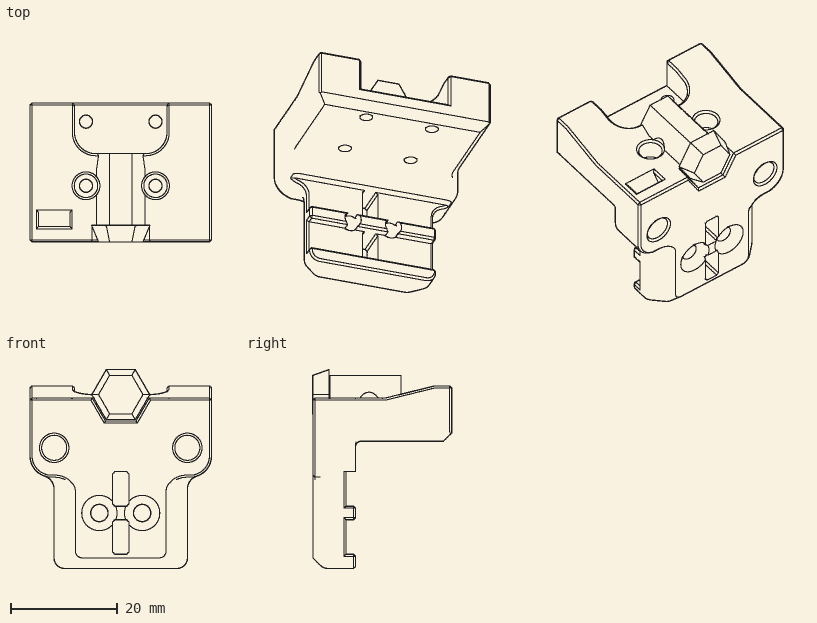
import cadquery as cq
import math


block_width = 34.0
block_depth = 26.0
plate_depth = 8.0
block_bottom = 17.1
block_corner_radius = 4.0
arm_bottom = 23.8
arm_chamfer = 1.6
arm_edge_radius = 0.75
arm_root_radius = 1.0
plate_corner_radius = 0.75
deck_height = 31.9
deck_length = 13.5
shoulder_height = 34.2
shoulder_length = 3.2
edge_chamfer = 0.4

neck_width = 25.0
neck_side_bevel = 4.0
neck_bottom_bevel = 2.0
neck_ridge_radius = 2.0
neck_blend_radius = 2.5

groove_floor = 6.2
groove_bottoms = (2.7, 11.7)
groove_height = 6.43
slot_width = 3.0

hex_center_height = 32.56
head_back_flats = 9.4
head_front_flats = 7.2
head_overhang = 0.04
recess_flats = 9.9
recess_depth = 3.2
head_end_gap = 0.15
ridge_flats = 7.2

pocket_half_width = 8.65
pocket_front = 16.5
pocket_floor = 27.8
pocket_corner_radius = 4.0

mount_hole_diameter = 2.4
mount_hole_x = 6.5
mount_hole_front_y = 10.5
mount_hole_rear_y = 22.5
counterbore_diameter = 4.4

blind_hole_diameter = 4.7
blind_hole_depth = 6.0
blind_hole_x = 12.45
blind_hole_z = 22.6
screw_hole_diameter = 3.2
screw_head_diameter = 6.6
screw_hole_x = 4.0
screw_hole_z = 10.4

ramp_slot_x = -12.45
ramp_slot_length = 5.9
ramp_slot_front = 2.85
ramp_slot_back = 5.95

half_width = block_width / 2
half_neck = neck_width / 2
groove_top = max(groove_bottoms) + groove_height
margin = 1.0
tolerance = 0.01




class EdgeFilter(cq.Selector):
    """Selects the edges that pass a test."""

    def __init__(self, test):
        self.test = test

    def filter(self, edges):
        return [edge for edge in edges if self.test(edge)]


def near(a, b):
    return abs(a - b) < tolerance


def lies_at_y(edge, y):
    bounds = edge.BoundingBox()
    return near(bounds.ymin, y) and near(bounds.ymax, y)


def front_plane(y=0, z=0):
    """Plane with axes +X and +Z; a negative extrusion goes back into the part."""
    return cq.Workplane("XZ", origin=(0, y, z))


def side_prism(points, half_length=half_width):
    """Polygon of (y, z) points extruded symmetrically along X."""
    return cq.Workplane("YZ").polyline(points).close().extrude(half_length, both=True)


def mirrored_pair(solid):
    return solid.union(solid.mirror("YZ"))


def point_on_arc(center, radius, angle):
    return (center[0] + radius * math.cos(angle), center[1] + radius * math.sin(angle))


def hexagon(plane, flats):
    """Hexagon with flats at top and bottom."""
    return plane.polygon(6, flats / math.cos(math.pi / 6))




def plate_blank():
    """Plate whose rounded lower corners sweep through a tangent arc into the neck."""
    convex = (half_width - block_corner_radius, block_bottom + block_corner_radius)
    center_distance = block_corner_radius + neck_blend_radius
    concave_x = half_neck + neck_blend_radius
    center_drop = math.sqrt(center_distance**2 - (concave_x - convex[0]) ** 2)
    concave = (concave_x, convex[1] - center_drop)
    sweep = math.asin(center_drop / center_distance)
    right_half = (
        front_plane()
        .lineTo(half_neck, 0)
        .lineTo(half_neck, concave[1])
        .threePointArc(
            point_on_arc(concave, neck_blend_radius, math.pi - sweep / 2),
            point_on_arc(concave, neck_blend_radius, math.pi - sweep),
        )
        .threePointArc(
            point_on_arc(convex, block_corner_radius, -sweep / 2),
            (half_width, convex[1]),
        )
        .lineTo(half_width, deck_height)
        .lineTo(0, deck_height)
        .close()
        .extrude(-plate_depth)
    )
    return mirrored_pair(right_half)


def side_bevel_cutter():
    """Cutter for the right front bevel of the neck, which curves out under the block."""
    plane = cq.Plane(
        origin=(half_neck - neck_side_bevel, 0, 0), xDir=(1, -1, 0), normal=(-1, -1, 0)
    )
    blend_center = (neck_blend_radius, block_bottom - neck_blend_radius)
    return (
        cq.Workplane(plane)
        .moveTo(0, -margin)
        .lineTo(0, blend_center[1])
        .threePointArc(
            point_on_arc(blend_center, neck_blend_radius, 3 * math.pi / 4),
            (neck_blend_radius, block_bottom),
        )
        .lineTo(half_width, block_bottom)
        .lineTo(half_width, -margin)
        .close()
        .extrude(half_width, both=True)
    )


def blend_rim_cutter():
    """Cutter that carries the front chamfer along the blend above the right bevel.

    The blend is cylindrical around a 45 degree axis, so its section parallel to the front is
    elliptical. That section is pushed forwards and up at 45 degrees.
    """
    blend_width = neck_blend_radius * math.sqrt(2)
    start_x = half_neck - neck_side_bevel + edge_chamfer
    start_z = block_bottom - neck_blend_radius
    outline = (
        front_plane(y=edge_chamfer)
        .moveTo(start_x, start_z)
        .ellipseArc(blend_width, neck_blend_radius, 90, 180, startAtCurrent=True, sense=-1)
        .lineTo(half_width, block_bottom)
        .lineTo(half_width, start_z)
        .close()
    )
    push = cq.Vector(0, -edge_chamfer, edge_chamfer)
    return cq.Workplane(cq.Solid.extrudeLinear(outline.val(), [], push))


def is_neck_ridge(edge):
    """Edges between the sides, bottom and bevels of the neck."""
    low = edge.Center().z < block_bottom / 2
    flush = lies_at_y(edge, 0) or lies_at_y(edge, plate_depth)
    return edge.geomType() == "LINE" and low and not flush


def is_front_edge(edge):
    """Outline of the front face, and the side edges of the deck."""
    center = edge.Center()
    side = near(abs(center.x), half_width) and near(center.z, deck_height)
    return side or lies_at_y(edge, 0)


def groove_cutter(bottom):
    groove = cq.Workplane("XY").box(
        block_width, plate_depth, groove_height, centered=(True, False, False)
    )
    return groove.translate((0, groove_floor, bottom))


def is_plate_back_corner(edge):
    """Rear edges of the plate's sides and rounded lower corners, above the grooves."""
    above_grooves = edge.Center().z > groove_top + tolerance
    return lies_at_y(edge, plate_depth) and above_grooves and abs(edge.Center().x) > half_neck


def is_groove_edge(edge):
    """Side edges of the grooves and all rear edges of the ribs, but not the top of the grooves."""
    bounds = edge.BoundingBox()
    if bounds.zmin > groove_top - tolerance or bounds.zmax > groove_top + tolerance:
        return False
    on_side = bounds.ymin > groove_floor - tolerance and abs(edge.Center().x) > half_neck - tolerance
    return on_side or lies_at_y(edge, plate_depth)


def make_plate():
    plate = plate_blank()
    plate = plate.edges(EdgeFilter(is_front_edge)).chamfer(edge_chamfer)
    plate = plate.cut(mirrored_pair(side_bevel_cutter()))
    plate = plate.cut(mirrored_pair(blend_rim_cutter()))
    plate = plate.cut(side_prism([(0, 0), (0, neck_bottom_bevel), (neck_bottom_bevel, 0)]))
    plate = plate.edges(EdgeFilter(is_neck_ridge)).fillet(neck_ridge_radius)
    for bottom in groove_bottoms:
        plate = plate.cut(groove_cutter(bottom))
    plate = plate.edges(EdgeFilter(is_plate_back_corner)).fillet(plate_corner_radius)
    return plate.edges(EdgeFilter(is_groove_edge)).chamfer(edge_chamfer)




def is_arm_chamfer_edge(edge):
    """Edge where a side of the arm meets its lower chamfer."""
    center = edge.Center()
    return near(abs(center.x), half_width) and near(center.z, arm_bottom + arm_chamfer)


def is_top_edge(edge):
    """Edges of the top along the sides and the back, and the upright back edges."""
    center = edge.Center()
    if lies_at_y(edge, block_depth):
        return center.z > arm_bottom + arm_chamfer + margin
    on_side = near(abs(center.x), half_width)
    return on_side and edge.BoundingBox().zmin > deck_height - tolerance


def make_arm():
    start = plate_depth / 2
    profile = [
        (start, arm_bottom),
        (block_depth, arm_bottom),
        (block_depth, shoulder_height),
        (block_depth - shoulder_length, shoulder_height),
        (deck_length, deck_height),
        (start, deck_height),
    ]
    arm = side_prism(profile)
    arm = arm.faces("<Z").edges("not <Y").chamfer(arm_chamfer)
    arm = arm.edges(EdgeFilter(is_top_edge)).chamfer(edge_chamfer)
    return arm.edges(EdgeFilter(is_arm_chamfer_edge)).fillet(arm_edge_radius)




def is_arm_root(edge):
    """Inner corner where the underside and lower chamfers of the arm meet the plate."""
    height = edge.Center().z - arm_bottom
    return lies_at_y(edge, plate_depth) and -tolerance < height < arm_chamfer


def make_block():
    block = make_plate().union(make_arm())
    return block.edges(EdgeFilter(is_arm_root)).fillet(arm_root_radius)




def pocket_cutter():
    length = block_depth - pocket_front
    pocket = cq.Workplane("XY").box(
        2 * pocket_half_width, length, shoulder_height - pocket_floor, centered=(True, False, False)
    )
    pocket = pocket.edges("|Z and <Y").fillet(pocket_corner_radius)
    return pocket.translate((0, pocket_front, pocket_floor))


def is_pocket_edge(edge):
    """Upper rim and rear edges of the pocket."""
    bounds = edge.BoundingBox()
    within = abs(edge.Center().x) < pocket_half_width + tolerance
    behind = bounds.ymin > pocket_front - tolerance
    rim = behind and bounds.zmin > deck_height
    rear = lies_at_y(edge, block_depth) and bounds.zmin > pocket_floor - tolerance
    return within and (rim or rear)


def cut_pocket(body):
    body = body.cut(pocket_cutter())
    return body.edges(EdgeFilter(is_pocket_edge)).chamfer(edge_chamfer)


def make_ridge():
    """Ridge with a flat top and 60 degree sides that run down into the deck."""
    apothem = ridge_flats / 2
    top = hex_center_height + apothem
    half_top = apothem * math.tan(math.pi / 6)
    half_base = half_top + (top - pocket_floor) * math.tan(math.pi / 6)
    outline = [
        (-half_base, pocket_floor),
        (half_base, pocket_floor),
        (half_top, top),
        (-half_top, top),
    ]
    start = front_plane(y=recess_depth)
    return start.polyline(outline).close().extrude(recess_depth - pocket_front)


def recess_cutter():
    center = front_plane(z=hex_center_height)
    recess = hexagon(center, recess_flats).extrude(-recess_depth)
    rim = hexagon(center, recess_flats + 2 * edge_chamfer).extrude(-edge_chamfer, taper=45)
    return recess.union(rim)


def turned_cutter(profile):
    """Solid of revolution about Z from (radius, height) points, closed along the axis."""
    points = [(0, profile[0][1])] + profile + [(0, profile[-1][1])]
    return cq.Workplane("XZ").polyline(points).close().revolve(360, (0, 0), (0, 1))


def turned_cutter_from_front(profile):
    """The same with the heights measured back from the front face."""
    return turned_cutter(profile).rotate((0, 0, 0), (1, 0, 0), -90)


def mount_hole_cutters():
    hole_radius = mount_hole_diameter / 2
    bore_radius = counterbore_diameter / 2
    rim_radius = bore_radius + edge_chamfer
    rear = turned_cutter([(hole_radius, 0), (hole_radius, shoulder_height)])
    front = turned_cutter(
        [
            (hole_radius, 0),
            (hole_radius, pocket_floor),
            (bore_radius, pocket_floor),
            (bore_radius, deck_height - edge_chamfer),
            (rim_radius, deck_height),
            (rim_radius, shoulder_height),
        ]
    )
    right = rear.translate((mount_hole_x, mount_hole_rear_y, 0)).union(
        front.translate((mount_hole_x, mount_hole_front_y, 0))
    )
    return mirrored_pair(right)


def blind_hole_cutters():
    radius = blind_hole_diameter / 2
    cutter = turned_cutter_from_front(
        [(radius + edge_chamfer, 0), (radius, edge_chamfer), (radius, blind_hole_depth)]
    )
    return mirrored_pair(cutter.translate((blind_hole_x, 0, blind_hole_z)))


def screw_hole_cutters():
    radius = screw_hole_diameter / 2
    head_radius = screw_head_diameter / 2
    cutter = turned_cutter_from_front(
        [(head_radius, 0), (radius, head_radius - radius), (radius, plate_depth + margin)]
    )
    return mirrored_pair(cutter.translate((screw_hole_x, 0, screw_hole_z)))


def slot_cutter(bottom):
    slot = front_plane(z=bottom + groove_height / 2).rect(slot_width, groove_height)
    return slot.extrude(-plate_depth).edges("|Y").chamfer(edge_chamfer)


def ramp_slot_cutter():
    run = ramp_slot_back - ramp_slot_front
    ramp = side_prism(
        [
            (ramp_slot_front, deck_height),
            (ramp_slot_back, deck_height),
            (ramp_slot_front, deck_height - run),
        ],
        ramp_slot_length / 2,
    ).translate((ramp_slot_x, 0, 0))
    rim_front = ramp_slot_front - edge_chamfer
    rim = (
        cq.Workplane("XY", origin=(ramp_slot_x, (rim_front + ramp_slot_back) / 2, deck_height))
        .rect(ramp_slot_length + 2 * edge_chamfer, ramp_slot_back - rim_front)
        .extrude(-edge_chamfer, taper=45)
    )
    return ramp.union(rim)




def make_housing():
    housing = cut_pocket(make_block()).union(make_ridge())
    for bottom in groove_bottoms:
        housing = housing.cut(slot_cutter(bottom))
    for cutter in (
        recess_cutter(),
        mount_hole_cutters(),
        blind_hole_cutters(),
        screw_hole_cutters(),
        ramp_slot_cutter(),
    ):
        housing = housing.cut(cutter)
    return housing


def make_head():
    """Hexagonal head that narrows towards the front."""
    length = recess_depth - head_end_gap + head_overhang
    front = front_plane(y=-head_overhang, z=hex_center_height)
    outline = hexagon(front, head_front_flats).workplane(offset=-length)
    return hexagon(outline, head_back_flats).loft()


housing = make_housing()
head = make_head()
result = cq.Compound.makeCompound([housing.val(), head.val()])